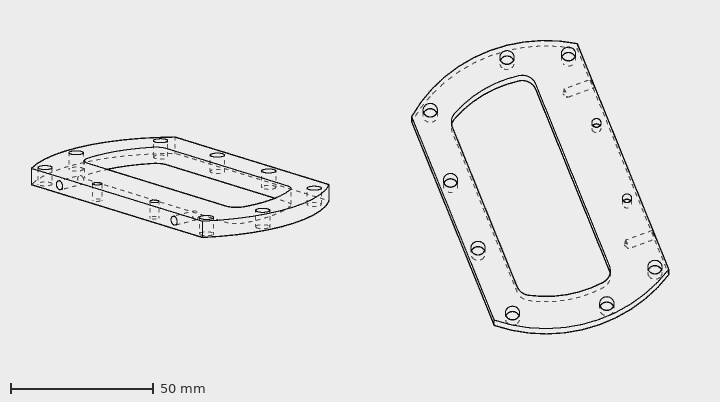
import cadquery as cq
import math

outer_radius = 53.4
thickness = 6.0
rear_edge_y = 34.9
front_edge_y = -29.1

window_radius = 41.5
window_rear_y = 23.0
window_front_y = -10.0
window_corner_radius = 5.0

bolt_diameter = 5.0
bolt_circle_radius = 49.0
bolt_rows_y = [28.0, -4.2, -24.8]
rear_hole_x = 13.5
rear_hole_y = 30.7
pin_diameter = 3.2
pin_x = 15.0
pin_y = bolt_rows_y[-1]

edge_hole_diameter = 3.2
edge_hole_x = 30.0
edge_hole_depth = 10.0
drill_point_angle = 118.0


def cut_disc(radius, low_y, high_y):
    """Disc of plate thickness kept only between two Y levels."""
    band = (
        cq.Workplane("XY")
        .center(0, (low_y + high_y) / 2)
        .rect(2 * radius, high_y - low_y)
        .extrude(thickness)
    )
    return cq.Workplane("XY").circle(radius).extrude(thickness).intersect(band)


def mirrored(x, y):
    """The point and its mirror image about the YZ plane."""
    return [(-x, y), (x, y)]


def through_holes(points, diameter):
    """Cylinders of plate thickness at the given points."""
    return cq.Workplane("XY").pushPoints(points).circle(diameter / 2).extrude(thickness)


def edge_hole(x):
    """Drilled hole with a conical end, running into the plate from the front edge."""
    radius = edge_hole_diameter / 2
    tip_length = radius / math.tan(math.radians(drill_point_angle / 2))
    profile = [
        (0, 0),
        (radius, 0),
        (radius, edge_hole_depth),
        (0, edge_hole_depth + tip_length),
    ]
    drill = cq.Workplane("XY").polyline(profile).close().revolve(360, (0, 0), (0, 1))
    return drill.translate((x, front_edge_y, thickness / 2))


plate = cut_disc(outer_radius, front_edge_y, rear_edge_y)
window = cut_disc(window_radius, window_front_y, window_rear_y)
window = window.edges("|Z").fillet(window_corner_radius)

bolt_points = mirrored(rear_hole_x, rear_hole_y)
for y in bolt_rows_y:
    bolt_points += mirrored(math.sqrt(bolt_circle_radius**2 - y**2), y)

result = plate.cut(window)
result = result.cut(through_holes(bolt_points, bolt_diameter))
result = result.cut(through_holes(mirrored(pin_x, pin_y), pin_diameter))
for x in (-edge_hole_x, edge_hole_x):
    result = result.cut(edge_hole(x))